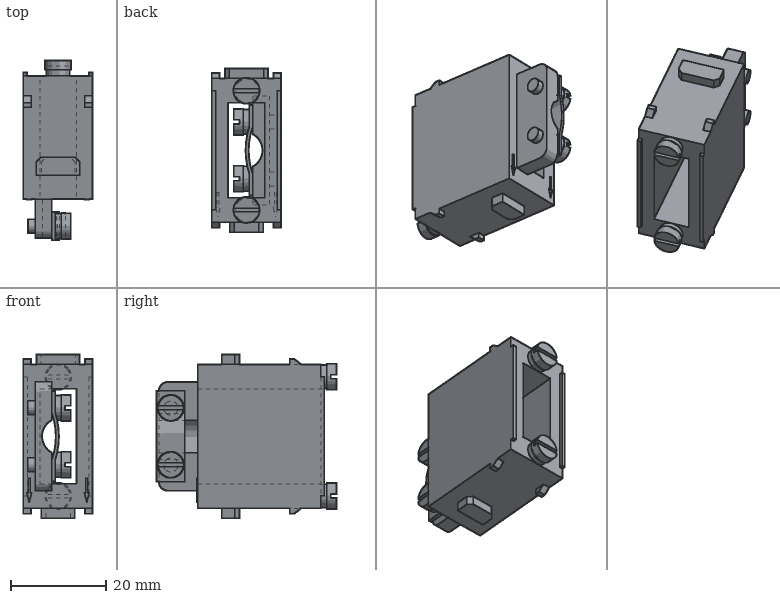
import cadquery as cq

HOUSING_X = 14.6
HOUSING_Z = 30.25
HOUSING_FRONT_Y = -10.25
HOUSING_REAR_Y = 15.6
WINDOW_X = 7.67
WINDOW_Z = 19.9

RIB_X = 0.8
RIB_Y = 0.75

KEY_HEIGHT = 2.08
KEY_REAR_Y = -1.45
KEY_FRONT_Y = -5.2
KEY_CHAMFER = 1.0
TOP_KEY_X = 9.1
BOTTOM_KEY_X = 7.1

CATCH_X = 1.65
CATCH_HEIGHT = 1.15
CATCH_FRONT_Y = 9.05
CATCH_CREST_Y = 10.0
CATCH_REAR_Y = 11.5

ARROW_X = 6.05
ARROW_TOP_Z = -8.77
ARROW_SHAFT_LENGTH = 3.02
ARROW_SHAFT_WIDTH = 0.4
ARROW_HEAD_LENGTH = 2.0
ARROW_HEAD_WIDTH = 1.05
ARROW_RELIEF = 0.15

ARM_LEFT_X = -4.8
ARM_RIGHT_X = -1.3
ARM_FRONT_Y = -18.45
ARM_Z = 22.9
ARM_CORNER_R = 2.0
GROOVE_R = 3.85
GROOVE_DEPTH = 2.05

STRIP_THICKNESS = 0.7
STRIP_FRONT_Y = -18.9
STRIP_REAR_Y = -12.93
STRIP_Z = 19.05
BOW_HALF_Z = 4.85
BOW_RISE = 0.8

HEAD_D = 5.5
HEAD_HEIGHT = 2.0
SLOT_WIDTH = 0.8
SLOT_DEPTH = 1.17
CLAMP_COLLAR_D = 5.3
CLAMP_COLLAR_HEIGHT = 1.25
CLAMP_SCREW_Y = -15.9
CLAMP_SCREW_Z = 5.97
PIN_D = 3.0
PIN_LENGTH = 1.5
REAR_COLLAR_D = 5.0
REAR_COLLAR_HEIGHT = 1.3
REAR_SCREW_Z = 12.5


def box(x, y, z):
    """Box spanning the (low, high) ranges given for each axis."""
    corner = (x[0], y[0], z[0])
    return cq.Workplane("XY").box(x[1] - x[0], y[1] - y[0], z[1] - z[0], centered=False).translate(corner)


def housing():
    half_x = HOUSING_X / 2
    half_z = HOUSING_Z / 2
    depth = (HOUSING_FRONT_Y, HOUSING_REAR_Y)
    body = box((-half_x, half_x), depth, (-half_z, half_z))
    window = box((-WINDOW_X / 2, WINDOW_X / 2), depth, (-WINDOW_Z / 2, WINDOW_Z / 2))
    return body.cut(window)


def rear_ribs():
    half_x = HOUSING_X / 2
    right = box(
        (half_x - RIB_X, half_x),
        (HOUSING_REAR_Y, HOUSING_REAR_Y + RIB_Y),
        (-REAR_SCREW_Z, REAR_SCREW_Z),
    )
    return right.union(right.mirror("YZ"))


def key_block(width):
    """Keying block on the top face, with its two rear corners chamfered."""
    z = HOUSING_Z / 2
    block = box((-width / 2, width / 2), (KEY_FRONT_Y, KEY_REAR_Y), (z, z + KEY_HEIGHT))
    return block.faces(">Y").edges("|Z").chamfer(KEY_CHAMFER)


def top_catches():
    z = HOUSING_Z / 2
    right = (
        cq.Workplane("YZ", origin=(HOUSING_X / 2 - CATCH_X, 0, 0))
        .moveTo(CATCH_FRONT_Y, z)
        .lineTo(CATCH_FRONT_Y, z + CATCH_HEIGHT)
        .lineTo(CATCH_CREST_Y, z + CATCH_HEIGHT)
        .lineTo(CATCH_REAR_Y, z)
        .close()
        .extrude(CATCH_X)
    )
    return right.union(right.mirror("YZ"))


def arrow(x):
    """Downward arrow raised on the front face."""
    neck_z = ARROW_TOP_Z - ARROW_SHAFT_LENGTH
    shaft = ARROW_SHAFT_WIDTH / 2
    head = ARROW_HEAD_WIDTH / 2
    outline = [
        (-shaft, ARROW_TOP_Z),
        (shaft, ARROW_TOP_Z),
        (shaft, neck_z),
        (head, neck_z),
        (0, neck_z - ARROW_HEAD_LENGTH),
        (-head, neck_z),
        (-shaft, neck_z),
    ]
    front = cq.Workplane("XZ", origin=(x, HOUSING_FRONT_Y, 0))
    return front.polyline(outline).close().extrude(ARROW_RELIEF)


def clamp_arm():
    depth = (ARM_FRONT_Y, HOUSING_FRONT_Y)
    arm = box((ARM_LEFT_X, ARM_RIGHT_X), depth, (-ARM_Z / 2, ARM_Z / 2))
    arm = arm.faces("<Y").edges("|X").fillet(ARM_CORNER_R)
    groove_x = ARM_RIGHT_X - GROOVE_DEPTH + GROOVE_R
    groove = (
        cq.Workplane("XZ", origin=(groove_x, HOUSING_FRONT_Y, 0))
        .circle(GROOVE_R)
        .extrude(HOUSING_FRONT_Y - ARM_FRONT_Y)
    )
    return arm.cut(groove)


def clamp_strip():
    inner_x = ARM_RIGHT_X
    outer_x = ARM_RIGHT_X + STRIP_THICKNESS
    end_z = STRIP_Z / 2
    return (
        cq.Workplane("XZ", origin=(0, STRIP_REAR_Y, 0))
        .moveTo(inner_x, end_z)
        .lineTo(outer_x, end_z)
        .lineTo(outer_x, BOW_HALF_Z)
        .threePointArc((outer_x + BOW_RISE, 0), (outer_x, -BOW_HALF_Z))
        .lineTo(outer_x, -end_z)
        .lineTo(inner_x, -end_z)
        .lineTo(inner_x, -BOW_HALF_Z)
        .threePointArc((inner_x + BOW_RISE, 0), (inner_x, BOW_HALF_Z))
        .close()
        .extrude(STRIP_REAR_Y - STRIP_FRONT_Y)
    )


def screw(seat, collar_d, collar_height):
    """Slotted screw head on a collar; the slot runs along the seat plane's local X."""
    collar = seat.circle(collar_d / 2).extrude(collar_height)
    head = seat.workplane(offset=collar_height).circle(HEAD_D / 2).extrude(HEAD_HEIGHT)
    slot_floor = collar_height + HEAD_HEIGHT - SLOT_DEPTH
    slot = seat.workplane(offset=slot_floor).rect(HEAD_D, SLOT_WIDTH).extrude(SLOT_DEPTH)
    return collar.union(head).cut(slot)


def clamp_screw(z):
    """Clamp screw on the strip, with its shank reaching through the arm as a pin."""
    seat = cq.Workplane("YZ", origin=(ARM_RIGHT_X + STRIP_THICKNESS, CLAMP_SCREW_Y, z))
    pin = (
        cq.Workplane("YZ", origin=(ARM_LEFT_X - PIN_LENGTH, CLAMP_SCREW_Y, z))
        .circle(PIN_D / 2)
        .extrude(PIN_LENGTH)
    )
    return screw(seat, CLAMP_COLLAR_D, CLAMP_COLLAR_HEIGHT).union(pin)


def rear_screw(z):
    rear_plane = cq.Plane(origin=(0, HOUSING_REAR_Y, z), xDir=(1, 0, 0), normal=(0, 1, 0))
    return screw(cq.Workplane(rear_plane), REAR_COLLAR_D, REAR_COLLAR_HEIGHT)


catches = top_catches()

result = housing().union(rear_ribs())
result = result.union(key_block(TOP_KEY_X)).union(key_block(BOTTOM_KEY_X).mirror("XY"))
result = result.union(catches).union(catches.mirror("XY"))
result = result.union(clamp_arm()).union(clamp_strip())
for side in (-1, 1):
    result = result.union(arrow(side * ARROW_X))
    result = result.union(clamp_screw(side * CLAMP_SCREW_Z))
    result = result.union(rear_screw(side * REAR_SCREW_Z))